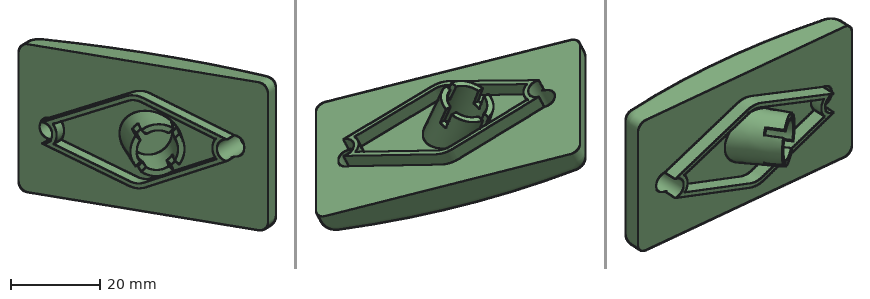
import cadquery as cq
import math

plate_length = 63.25
plate_height = 35.05
crown_y = 8.85
shoulder_y = 6.15
end_fillet = 3.7
edge_fillet = 2.35

rim_height = 3.6
rim_wall = 1.15
hole_middle_x = -0.3
hole_radius = 2.5
hole_offset_x = 23.4
hole_offset_z = 1.5
apex_radius = 5.95
apex_z = 10.95

socket_tilt = 36.0
socket_taper = 2.4
socket_end_x = 7.1
socket_end_y = -6.65
socket_end_radius = 6.15
socket_length = 13.4
socket_wall = 1.45
bore_depth = 12.65
slot_width = 1.85
slot_depth = 4.4
slot_count = 4

hole_points = [
    (hole_middle_x - hole_offset_x, -hole_offset_z),
    (hole_middle_x + hole_offset_x, hole_offset_z),
]


def make_plate():
    half_length = plate_length / 2
    profile = (
        cq.Workplane("XY")
        .moveTo(-half_length, 0)
        .lineTo(half_length, 0)
        .lineTo(half_length, shoulder_y)
        .threePointArc((0, crown_y), (-half_length, shoulder_y))
        .close()
        .extrude(plate_height / 2, both=True)
    )
    rounded = profile.edges("|Z").edges(">Y").fillet(end_fillet)
    return rounded.faces("|Z").edges("not <Y").fillet(edge_fillet)


def tangent_contact(point, center, side):
    """Contact on an apex arc of its tangent through point.

    side is 1 or -1 and picks the contact turned that way from the line center -> point.
    """
    dx = point[0] - center[0]
    dz = point[1] - center[1]
    swing = math.acos(apex_radius / math.hypot(dx, dz))
    angle = math.atan2(dz, dx) + side * swing
    return (
        center[0] + apex_radius * math.cos(angle),
        center[1] + apex_radius * math.sin(angle),
    )


def make_diamond(inset=0):
    """Solid diamond ending on the hole diameters, moved inwards by inset."""
    (left_x, left_z), (right_x, right_z) = hole_points
    left_upper = (left_x, left_z + hole_radius)
    left_lower = (left_x, left_z - hole_radius)
    right_upper = (right_x, right_z + hole_radius)
    right_lower = (right_x, right_z - hole_radius)
    top_center = (0, apex_z - apex_radius)
    bottom_center = (0, apex_radius - apex_z)
    outline = (
        cq.Workplane("XZ")
        .moveTo(*right_upper)
        .lineTo(*tangent_contact(right_upper, top_center, 1))
        .threePointArc((0, apex_z), tangent_contact(left_upper, top_center, -1))
        .lineTo(*left_upper)
        .lineTo(*left_lower)
        .lineTo(*tangent_contact(left_lower, bottom_center, 1))
        .threePointArc((0, -apex_z), tangent_contact(right_lower, bottom_center, -1))
        .lineTo(*right_lower)
        .close()
    )
    if inset:
        outline = outline.offset2D(-inset)
    return outline.extrude(rim_height)


def make_rim():
    hole_guards = (
        cq.Workplane("XZ")
        .pushPoints(hole_points)
        .circle(hole_radius + rim_wall)
        .extrude(rim_height)
    )
    pocket = make_diamond(rim_wall).cut(hole_guards)
    return make_diamond().cut(pocket)


def make_screw_holes():
    return (
        cq.Workplane("XZ", origin=(0, crown_y, 0))
        .pushPoints(hole_points)
        .circle(hole_radius)
        .extrude(crown_y + rim_height)
    )


def socket_plane():
    """Plane on the open end of the socket, with its normal pointing outwards."""
    tilt = math.radians(socket_tilt)
    return cq.Plane(
        origin=(socket_end_x, socket_end_y, 0),
        xDir=(math.cos(tilt), math.sin(tilt), 0),
        normal=(math.sin(tilt), -math.cos(tilt), 0),
    )


def make_cone(end_radius, length):
    """Cone running inwards from the open end and widening with depth."""
    cone = cq.Workplane(socket_plane()).circle(end_radius)
    return cone.extrude(-length, taper=-socket_taper)


def make_slots():
    spacing = 360 / slot_count
    reach = 2 * socket_end_radius
    slots = cq.Workplane(socket_plane())
    for index in range(slot_count):
        slot = (
            cq.Workplane(socket_plane())
            .transformed(rotate=(0, 0, spacing * (index + 0.5)))
            .center(reach / 2, 0)
            .rect(reach, slot_width)
            .extrude(-slot_depth)
        )
        slots = slots.union(slot)
    return slots


socket_body = make_cone(socket_end_radius, socket_length).cut(make_slots())
bore = make_cone(socket_end_radius - socket_wall, bore_depth)

result = (
    make_plate()
    .union(make_rim())
    .union(socket_body)
    .cut(bore)
    .cut(make_screw_holes())
)